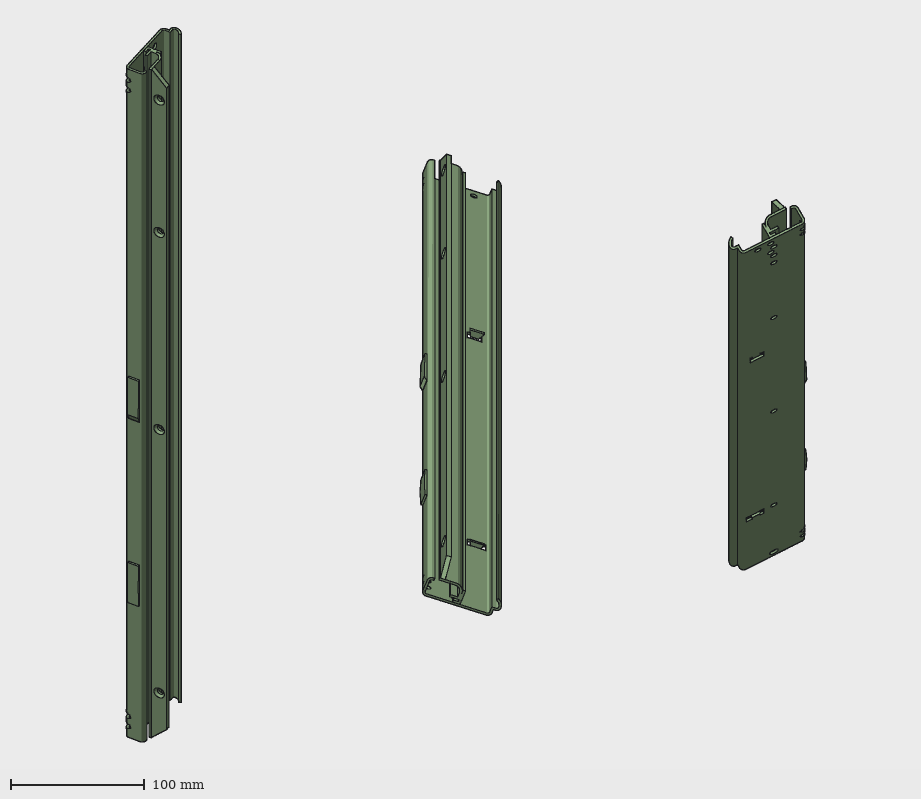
import cadquery as cq
import math

LENGTH = 650.0
WIDTH = 31.0
DEPTH = 62.5

SHEET = 2.0
HALF = SHEET / 2
BEND_OUTSIDE = 3.6
BEND = BEND_OUTSIDE - HALF
ARC_MIDDLE = 1 - math.sqrt(0.5)
BEND_MIDDLE = BEND * ARC_MIDDLE

WALL_X = HALF
WALL_END = 54.0
SHELF_Y = WALL_END + BEND
TROUGH_BOTTOM = 2.3
TROUGH_Y = TROUGH_BOTTOM + HALF
TROUGH_FLAT_END = 13.0
TROUGH_X = TROUGH_FLAT_END + BEND
TROUGH_LIP_END = 7.0
HOOK_TIP = (15.5, 57.0)
HOOK_MIDDLE = (13.5, 60.0)
HOOK_TOP_X = 10.0
HOOK_TOP_Y = DEPTH - HALF
HOOK_X = 7.0
HOOK_BEND = 2.3
HOOK_BEND_MIDDLE = HOOK_BEND * ARC_MIDDLE

WALL_HOLE = 5.0
HOLE_ROW_Y = 30.0
HOLE_ROW_Z = [632.5, 615.0, 600.0, 487.5, 296.0, 103.5]
SIDE_HOLE_Y = 32.5
SIDE_HOLE_Z = [642.0, 624.0]
OUTER_HOLE_Y = 43.5
OUTER_HOLE_Z = 642.0
FOOT_HOLE = 7.0
FOOT_HOLE_Z = 7.0

SLOT_BOTTOM_Y = 38.5
SLOT_HEIGHT = 8.5
TONGUE_THICKNESS = 2.5
SLOTS = [
    (419.0, 12.0, SLOT_HEIGHT - TONGUE_THICKNESS),
    (97.0, 15.0, 0),
]
TONGUE_REACH = 5.5
TONGUE_BOTTOM_Y = 39.0
TONGUE_TOP_Y = 51.0
TONGUE_TAPER = 2.5

STRIP_LEFT = BEND_OUTSIDE
STRIP_RIGHT = TROUGH_FLAT_END
STRIP_EDGE_Y = 0.5
STRIPS = [
    (351.5, 318.0, 316.0, 311.0, 2.0),
    (171.5, 154.0, 149.5, 132.5, STRIP_EDGE_Y),
]

PAD_WIDTH = 2.0
PAD_THICKNESS = 1.0
PAD_OFFSET = 1.0
PAD_LENGTH = 18.0
PAD_END_GAP = 6.5
PAD_HOLE_LENGTH = 7.0
PAD_HOLE_WIDTH = 4.5
PAD_HOLE_PITCH = 10.0
PAD_HOLE_DEPTH = 5.0

PLATE_TOP = 32.5
PLATE_THICKNESS = 2.0
PLATE_RIGHT = 14.0
FOOT_BOTTOM = 26.5
FOOT_RIGHT = 4.0
CURL_X = 6.5
CURL_END = 23.0
ARCH_TOP = PLATE_TOP - PLATE_THICKNESS - HALF
ARCH_LEFT = 11.0
RAIL_WALL_RIGHT = 18.0
RAIL_WALL_X = RAIL_WALL_RIGHT - HALF
ARCH_RADIUS = RAIL_WALL_X - ARCH_LEFT
ARCH_MIDDLE = ARCH_RADIUS * ARC_MIDDLE
RAIL_WALL_END = 10.5
FLANGE_BOTTOM = 11.0
FLANGE_THICKNESS = 4.0
FLANGE_CORNER = 13.0
FLANGE_HOLE_X = 25.0
FLANGE_HOLES_Z = [623.0, 494.0, 302.0, 46.0]
FLANGE_HOLE = 5.0
FLANGE_SINK = 9.0
FLANGE_SINK_ANGLE = 90


def block(x_range, y_range, z_range):
    """Box between two limits along each axis."""
    sizes = [high - low for low, high in (x_range, y_range, z_range)]
    corner = (x_range[0], y_range[0], z_range[0])
    return cq.Workplane("XY").box(*sizes, centered=False).translate(corner)


def sheet_along(path, start):
    """Full-length sheet that follows a path in the XY plane, which leaves its start along Y."""
    section_plane = cq.Plane(origin=(start[0], start[1], LENGTH / 2), xDir=(1, 0, 0), normal=(0, 1, 0))
    return cq.Workplane(section_plane).rect(SHEET, LENGTH).sweep(path, transition="right")


def cylinder_x(diameter, y, z, length):
    """Cylinder along +X from the X = 0 plane."""
    return cq.Workplane("YZ").center(y, z).circle(diameter / 2).extrude(length)


def panel_sheet():
    """Trough, wall, shelf and hook in one bent sheet."""
    start = (TROUGH_X, TROUGH_LIP_END)
    path = (
        cq.Workplane("XY")
        .moveTo(*start)
        .lineTo(TROUGH_X, TROUGH_Y + BEND)
        .threePointArc((TROUGH_X - BEND_MIDDLE, TROUGH_Y + BEND_MIDDLE), (TROUGH_X - BEND, TROUGH_Y))
        .lineTo(WALL_X + BEND, TROUGH_Y)
        .threePointArc((WALL_X + BEND_MIDDLE, TROUGH_Y + BEND_MIDDLE), (WALL_X, TROUGH_Y + BEND))
        .lineTo(WALL_X, WALL_END)
        .threePointArc((WALL_X + BEND_MIDDLE, SHELF_Y - BEND_MIDDLE), (WALL_X + BEND, SHELF_Y))
        .lineTo(HOOK_X, SHELF_Y)
        .lineTo(HOOK_X, HOOK_TOP_Y - HOOK_BEND)
        .threePointArc(
            (HOOK_X + HOOK_BEND_MIDDLE, HOOK_TOP_Y - HOOK_BEND_MIDDLE),
            (HOOK_X + HOOK_BEND, HOOK_TOP_Y),
        )
        .lineTo(HOOK_TOP_X, HOOK_TOP_Y)
        .threePointArc(HOOK_MIDDLE, HOOK_TIP)
    )
    return sheet_along(path, start)


def wall_holes():
    """Cutters for the round holes through the panel wall."""
    centres = [(HOLE_ROW_Y, z) for z in HOLE_ROW_Z]
    centres += [(SIDE_HOLE_Y, z) for z in SIDE_HOLE_Z]
    centres.append((OUTER_HOLE_Y, OUTER_HOLE_Z))
    cutters = cylinder_x(FOOT_HOLE, HOLE_ROW_Y, FOOT_HOLE_Z, SHEET)
    for y, z in centres:
        cutters = cutters.union(cylinder_x(WALL_HOLE, y, z, SHEET))
    return cutters


def tongue(bottom_z):
    """Tongue that leans in from the wall and widens towards its free edge."""
    return (
        cq.Workplane("XY", origin=(0, 0, bottom_z))
        .moveTo(0, TONGUE_BOTTOM_Y + TONGUE_TAPER)
        .lineTo(TONGUE_REACH, TONGUE_BOTTOM_Y)
        .lineTo(TONGUE_REACH, TONGUE_TOP_Y)
        .lineTo(0, TONGUE_TOP_Y - TONGUE_TAPER)
        .close()
        .extrude(TONGUE_THICKNESS)
    )


def wedge_strip(top, crest_top, crest_bottom, bottom, bottom_y):
    """Strip on the trough whose outer face slopes both ways from the crest at Y = 0."""
    return (
        cq.Workplane("YZ", origin=(STRIP_LEFT, 0, 0))
        .moveTo(TROUGH_Y, top)
        .lineTo(STRIP_EDGE_Y, top)
        .lineTo(0, crest_top)
        .lineTo(0, crest_bottom)
        .lineTo(bottom_y, bottom)
        .lineTo(TROUGH_Y, bottom)
        .close()
        .extrude(STRIP_RIGHT - STRIP_LEFT)
    )


def bend_plane(z):
    """Plane facing inwards at 45 degrees, just outside the bend between wall and trough."""
    return cq.Plane(origin=(PAD_OFFSET, TROUGH_BOTTOM + PAD_OFFSET, z), xDir=(1, -1, 0), normal=(1, 1, 0))


def corner_pad(bottom_z):
    """Flat pad set at 45 degrees across the bend between wall and trough."""
    return (
        cq.Workplane(bend_plane(bottom_z + PAD_LENGTH / 2))
        .rect(PAD_WIDTH, PAD_LENGTH)
        .extrude(PAD_THICKNESS)
    )


def pad_hole(z):
    """Cutter for an oblong hole through a pad and the bend, long across the bend."""
    return cq.Workplane(bend_plane(z)).slot2D(PAD_HOLE_LENGTH, PAD_HOLE_WIDTH).extrude(PAD_HOLE_DEPTH)


def make_panel():
    panel = panel_sheet().cut(wall_holes())
    for bottom_z, length, tongue_rise in SLOTS:
        y_range = (SLOT_BOTTOM_Y, SLOT_BOTTOM_Y + length)
        panel = panel.cut(block((0, SHEET), y_range, (bottom_z, bottom_z + SLOT_HEIGHT)))
        panel = panel.union(tongue(bottom_z + tongue_rise))
    for strip in STRIPS:
        panel = panel.union(wedge_strip(*strip))
    for bottom_z in (PAD_END_GAP, LENGTH - PAD_END_GAP - PAD_LENGTH):
        panel = panel.union(corner_pad(bottom_z))
        for side in (-1, 1):
            panel = panel.cut(pad_hole(bottom_z + PAD_LENGTH / 2 + side * PAD_HOLE_PITCH / 2))
    return panel


def rail_sheet():
    """Curled edge, arch and wall of the rail in one bent sheet."""
    start = (CURL_X, CURL_END)
    path = (
        cq.Workplane("XY")
        .moveTo(*start)
        .lineTo(CURL_X, ARCH_TOP)
        .lineTo(ARCH_LEFT, ARCH_TOP)
        .threePointArc(
            (RAIL_WALL_X - ARCH_MIDDLE, ARCH_TOP - ARCH_MIDDLE),
            (RAIL_WALL_X, ARCH_TOP - ARCH_RADIUS),
        )
        .lineTo(RAIL_WALL_X, RAIL_WALL_END)
    )
    return sheet_along(path, start)


def flange():
    """Flange with its two outer corners cut off and a row of countersunk holes."""
    plate = (
        cq.Workplane("XZ", origin=(0, FLANGE_BOTTOM + FLANGE_THICKNESS, 0))
        .moveTo(RAIL_WALL_X, 0)
        .lineTo(RAIL_WALL_RIGHT, 0)
        .lineTo(WIDTH, FLANGE_CORNER)
        .lineTo(WIDTH, LENGTH - FLANGE_CORNER)
        .lineTo(RAIL_WALL_RIGHT, LENGTH)
        .lineTo(RAIL_WALL_X, LENGTH)
        .close()
        .extrude(FLANGE_THICKNESS)
    )
    centres = [(FLANGE_HOLE_X, z) for z in FLANGE_HOLES_Z]
    front = cq.Workplane("XZ", origin=(0, FLANGE_BOTTOM, 0)).add(plate)
    return front.pushPoints(centres).cskHole(FLANGE_HOLE, FLANGE_SINK, FLANGE_SINK_ANGLE)


def make_rail():
    full = (0, LENGTH)
    plate = block((SHEET, PLATE_RIGHT), (PLATE_TOP - PLATE_THICKNESS, PLATE_TOP), full)
    foot = block((SHEET, FOOT_RIGHT), (FOOT_BOTTOM, PLATE_TOP), full)
    return rail_sheet().union(plate).union(foot).union(flange())


panel = make_panel()
rail = make_rail()

result = cq.Compound.makeCompound([panel.val(), rail.val()])